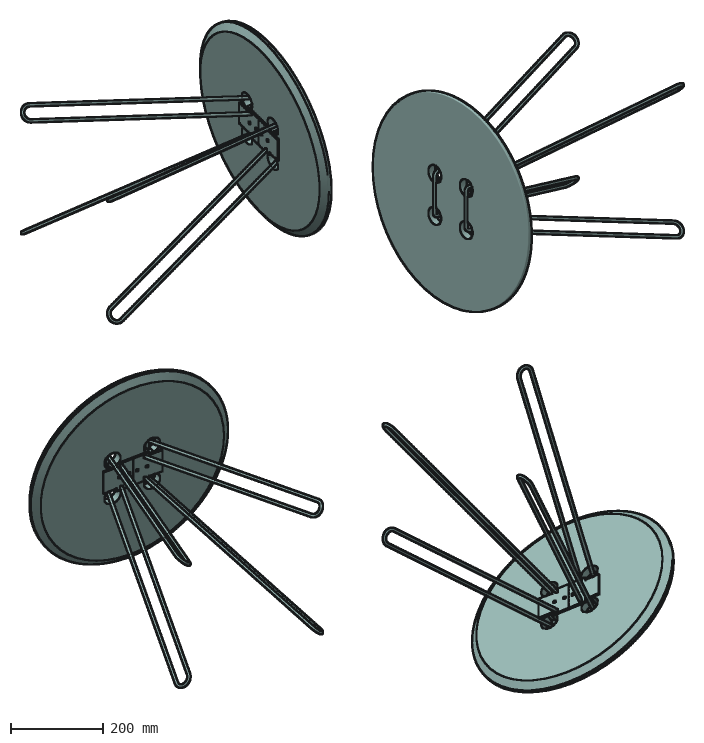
import cadquery as cq
import math

TOP_RADIUS = 250.0
TOP_THICKNESS = 21.0
RIM_HEIGHT = 9.5
CHAMFER_INSET = 17.5
RIM_FILLET = 2.0

WIRE_RADIUS = 4.0
CORNER_OFFSET = 50.0
CORNER_BEND_RADIUS = 10.0
LEG_ANGLE = math.radians(20)
STRAND_SPACING = 35.0
FRAME_DEPTH = 534 - WIRE_RADIUS

OPENING_RADIUS = 20.5

PLATE_THICKNESS = 4.0
PLATE_END = 75.0
PLATE_STEP = 41.0
PLATE_HALF_GAP = 0.5
PLATE_HALF_HEIGHT = 37.5
PLATE_END_HALF_HEIGHT = 30.0

HOLE_RADIUS = 3.0
HOLE_POSITIONS = (10.0, 35.0)

SIDES = (-1, 1)
FRONT_Y = -TOP_THICKNESS
PLATE_FRONT_Y = FRONT_Y - PLATE_THICKNESS


def cylinder_along_y(x, z, radius, y_start, y_end):
    """Round bar along Y between two depths, for openings and holes."""
    return cq.Workplane(
        cq.Solid.makeCylinder(radius, y_end - y_start, cq.Vector(x, y_start, z), cq.Vector(0, 1, 0))
    )


def slot_box(side, half_length):
    """Block as wide as the wire, running along Z through the full thickness of the tabletop."""
    return cq.Workplane("XY").box(
        2 * WIRE_RADIUS, TOP_THICKNESS, 2 * half_length
    ).translate((side * CORNER_OFFSET, FRONT_Y / 2, 0))


def rod_cylinder(side, half_length):
    """Straight rod space along Z, centred on the back face of the tabletop."""
    return cq.Workplane("XY").center(side * CORNER_OFFSET, 0).circle(WIRE_RADIUS).extrude(
        half_length, both=True
    )


def make_filler_strip(side):
    """Strip between rod and plate, hollowed at the back to seat the rod, flush with the openings."""
    half_length = CORNER_OFFSET - OPENING_RADIUS
    return slot_box(side, half_length).cut(rod_cylinder(side, half_length))


def make_plate(side):
    """Stepped plate with a row of holes along its middle."""
    plate = (
        cq.Workplane("XZ", origin=(0, FRONT_Y, 0))
        .moveTo(side * PLATE_HALF_GAP, -PLATE_HALF_HEIGHT)
        .lineTo(side * PLATE_STEP, -PLATE_HALF_HEIGHT)
        .lineTo(side * PLATE_STEP, -PLATE_END_HALF_HEIGHT)
        .lineTo(side * PLATE_END, -PLATE_END_HALF_HEIGHT)
        .lineTo(side * PLATE_END, PLATE_END_HALF_HEIGHT)
        .lineTo(side * PLATE_STEP, PLATE_END_HALF_HEIGHT)
        .lineTo(side * PLATE_STEP, PLATE_HALF_HEIGHT)
        .lineTo(side * PLATE_HALF_GAP, PLATE_HALF_HEIGHT)
        .close()
        .extrude(PLATE_THICKNESS)
    )
    for hole_x in HOLE_POSITIONS:
        plate = plate.cut(cylinder_along_y(side * hole_x, 0, HOLE_RADIUS, PLATE_FRONT_Y, FRONT_Y))
    return plate


def make_wire_frame(side):
    """Two hairpin legs joined by a straight rod along the back face, bent from one wire."""
    outward = cq.Vector(side, 0, 1).normalized()
    forward = cq.Vector(0, -1, 0)
    along_leg = outward * math.sin(LEG_ANGLE) + forward * math.cos(LEG_ANGLE)
    toward_inner = outward * -math.cos(LEG_ANGLE) + forward * math.sin(LEG_ANGLE)

    corner = cq.Vector(side * CORNER_OFFSET, 0, CORNER_OFFSET)
    rod_direction = cq.Vector(0, 0, 1)
    turn_angle = rod_direction.getAngle(along_leg)
    bend_setback = CORNER_BEND_RADIUS * math.tan(turn_angle / 2)
    bend_start = corner - rod_direction * bend_setback
    bend_end = corner + along_leg * bend_setback
    rod_middle = cq.Vector(side * CORNER_OFFSET, 0, 0)

    turn_radius = STRAND_SPACING / 2
    turn_depth = FRAME_DEPTH - turn_radius - WIRE_RADIUS
    strand_length = (turn_depth - turn_radius * math.sin(LEG_ANGLE)) / math.cos(LEG_ANGLE)
    outer_end = corner + along_leg * strand_length
    turn_top = outer_end + toward_inner * turn_radius + along_leg * turn_radius
    inner_end = outer_end + toward_inner * STRAND_SPACING
    length_to_plate = (PLATE_FRONT_Y - inner_end.y) / math.cos(LEG_ANGLE)
    trim_allowance = 2 * WIRE_RADIUS
    inner_start = inner_end - along_leg * (length_to_plate + trim_allowance)

    path = cq.Wire.assembleEdges([
        cq.Edge.makeLine(rod_middle, bend_start),
        cq.Edge.makeTangentArc(bend_start, rod_direction, bend_end),
        cq.Edge.makeLine(bend_end, outer_end),
        cq.Edge.makeThreePointArc(outer_end, turn_top, inner_end),
        cq.Edge.makeLine(inner_end, inner_start),
    ])

    upper_half = cq.Workplane("XY", origin=rod_middle.toTuple()).circle(WIRE_RADIUS).sweep(path)
    trim_block = cq.Workplane("XY").box(
        2 * PLATE_STEP, -PLATE_FRONT_Y, 2 * PLATE_HALF_HEIGHT
    ).translate((0, PLATE_FRONT_Y / 2, 0))
    upper_half = upper_half.cut(trim_block)
    return upper_half.union(upper_half.mirror("XY")).clean()


def make_tabletop():
    """Disc with a chamfered front edge, wire openings and a slot for each rod and filler strip."""
    top = (
        cq.Workplane("XY")
        .lineTo(TOP_RADIUS, 0)
        .lineTo(TOP_RADIUS, -RIM_HEIGHT)
        .lineTo(TOP_RADIUS - CHAMFER_INSET, FRONT_Y)
        .lineTo(0, FRONT_Y)
        .close()
        .revolve(360, (0, 0, 0), (0, 1, 0))
    )
    rim_edges = cq.selectors.BoxSelector(
        (-2 * TOP_RADIUS, -RIM_HEIGHT - RIM_FILLET, -2 * TOP_RADIUS),
        (2 * TOP_RADIUS, RIM_FILLET, 2 * TOP_RADIUS),
    )
    top = top.edges("%CIRCLE").edges(rim_edges).fillet(RIM_FILLET)
    for side in SIDES:
        for level in SIDES:
            top = top.cut(
                cylinder_along_y(side * CORNER_OFFSET, level * CORNER_OFFSET, OPENING_RADIUS, FRONT_Y, 0)
            )
        top = top.cut(slot_box(side, CORNER_OFFSET)).cut(rod_cylinder(side, CORNER_OFFSET))
    return top


tabletop = make_tabletop()
plates = [make_plate(side) for side in SIDES]
wire_frames = [make_wire_frame(side) for side in SIDES]
filler_strips = [make_filler_strip(side) for side in SIDES]

bodies = [tabletop, *plates, *wire_frames, *filler_strips]
result = cq.Compound.makeCompound([body.solids().val() for body in bodies])